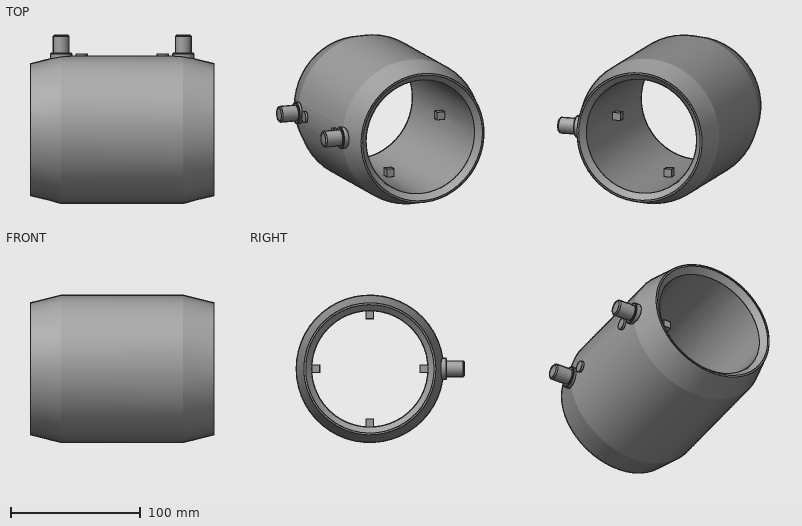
import cadquery as cq

length = 142.0
outer_radius = 57.0
end_radius = 51.0
bore_radius = 44.9
barrel_length = 94.3
mouth_chamfer = 4.7

terminal_spacing = barrel_length
terminal_diameter = 12.4
terminal_tip_y = 73.0
terminal_chamfer = 1.0
collar_diameter = 16.6
collar_top_y = 59.2
collar_chamfer = 0.5
button_spacing = 62.8
button_diameter = 8.8
button_top_y = 58.6
root_y = (bore_radius + end_radius) / 2

stop_width = 6.0
stop_inner_radius = 38.6
stop_outer_radius = (bore_radius + outer_radius) / 2
stop_count = 4


def make_sleeve():
    """Revolve the wall section about the X axis."""
    half_length = length / 2
    half_barrel = barrel_length / 2
    mouth_radius = bore_radius + mouth_chamfer
    bore_end = half_length - mouth_chamfer
    section = (
        cq.Workplane("XY")
        .moveTo(-half_barrel, outer_radius)
        .lineTo(half_barrel, outer_radius)
        .lineTo(half_length, end_radius)
        .lineTo(half_length, mouth_radius)
        .lineTo(bore_end, bore_radius)
        .lineTo(-bore_end, bore_radius)
        .lineTo(-half_length, mouth_radius)
        .lineTo(-half_length, end_radius)
        .close()
    )
    return section.revolve(360, (0, 0, 0), (1, 0, 0))


def make_post(x, diameter, top_y, chamfer=0):
    """Round post from inside the wall out to top_y, with an optional chamfered rim."""
    post = (
        cq.Workplane("XZ", origin=(x, root_y, 0))
        .circle(diameter / 2)
        .extrude(root_y - top_y)
    )
    if chamfer:
        post = post.faces(">Y").chamfer(chamfer)
    return post


def make_stop(angle):
    """Square block reaching from the bore wall towards the axis."""
    height = stop_outer_radius - stop_inner_radius
    block = cq.Workplane("XY").box(stop_width, stop_width, height)
    block = block.translate((0, 0, stop_inner_radius + height / 2))
    return block.rotate((0, 0, 0), (1, 0, 0), angle)


result = make_sleeve()

for side in (-1, 1):
    terminal_x = side * terminal_spacing / 2
    button_x = side * button_spacing / 2
    result = result.union(make_post(terminal_x, collar_diameter, collar_top_y, collar_chamfer))
    result = result.union(make_post(terminal_x, terminal_diameter, terminal_tip_y, terminal_chamfer))
    result = result.union(make_post(button_x, button_diameter, button_top_y))

for index in range(stop_count):
    result = result.union(make_stop(index * 360 / stop_count))